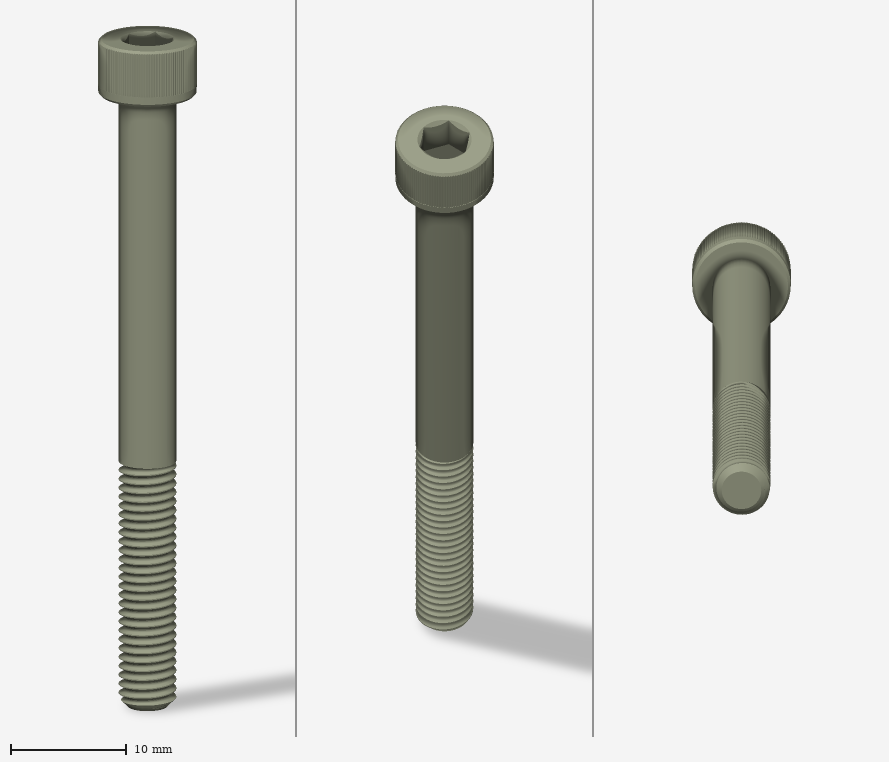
import cadquery as cq
import math

overall_length = 60.0
head_diameter = 8.5
head_height = 5.0
shank_diameter = 5.0

head_edge_chamfer = 0.25
knurl_count = 120
knurl_depth = 0.05
knurl_bottom_band = 0.9

socket_across_flats = 4.0
socket_depth = 3.0
socket_mouth_diameter = 4.7
socket_mouth_angle = math.radians(45)

thread_length = 22.0
thread_turns = 27.5
tip_chamfer = 0.8
thread_half_angle = math.radians(30)
first_crest_height = 0.3

head_radius = head_diameter / 2
shank_radius = shank_diameter / 2
head_base = overall_length - head_height

pitch = thread_length / thread_turns
crest_width = pitch / 8
root_width = pitch / 8
thread_depth = (pitch - crest_width - root_width) / 2 / math.tan(thread_half_angle)
root_radius = shank_radius - thread_depth

overlap = 0.05
cutter_margin = 0.6


def make_rod(radius, bottom, top):
    return cq.Workplane("XY", origin=(0, 0, bottom)).circle(radius).extrude(top - bottom)


def make_head():
    head = make_rod(head_radius, head_base, overall_length)
    return head.faces("<Z or >Z").chamfer(head_edge_chamfer)


def make_knurl_cutter():
    """Ring whose toothed inside cuts straight V-grooves into the rim of the head."""
    tooth_angle = 2 * math.pi / knurl_count
    outline = []
    for i in range(knurl_count):
        ridge_angle = i * tooth_angle
        valley_angle = ridge_angle + tooth_angle / 2
        for radius, angle in ((head_radius, ridge_angle), (head_radius - knurl_depth, valley_angle)):
            outline.append((radius * math.cos(angle), radius * math.sin(angle)))
    plane = cq.Workplane("XY", origin=(0, 0, head_base + knurl_bottom_band))
    return plane.circle(head_radius + cutter_margin).polyline(outline).close().extrude(head_height)


def make_socket():
    across_corners = socket_across_flats / math.cos(math.pi / 6)
    floor = cq.Workplane("XY", origin=(0, 0, overall_length - socket_depth))
    hexagon = floor.polygon(6, across_corners).extrude(socket_depth)
    mouth_radius = socket_mouth_diameter / 2
    mouth_depth = mouth_radius / math.tan(socket_mouth_angle)
    mouth = cq.Solid.makeCone(0, mouth_radius, mouth_depth, cq.Vector(0, 0, overall_length - mouth_depth))
    return hexagon.union(cq.Workplane(mouth))


def make_thread_ridge():
    """Right-handed ridge, trimmed flat at both ends of the thread."""
    start = first_crest_height - pitch
    inner_radius = root_radius - overlap
    crest_half = crest_width / 2
    inner_half = crest_half + (shank_radius - inner_radius) * math.tan(thread_half_angle)
    profile = cq.Workplane("XZ", origin=(0, 0, start)).polyline([
        (inner_radius, -inner_half),
        (shank_radius, -crest_half),
        (shank_radius, crest_half),
        (inner_radius, inner_half),
    ]).close()
    helix_height = thread_length + 2 * pitch
    path = cq.Wire.makeHelix(pitch, helix_height, shank_radius, center=cq.Vector(0, 0, start))
    ridge = profile.sweep(cq.Workplane(path), isFrenet=True)
    return ridge.intersect(make_rod(head_radius, 0, thread_length))


def make_tip_cutter():
    """Ring that leaves a 45 degree cone on the tip of the thread."""
    tip_radius = shank_radius - tip_chamfer
    outer_radius = shank_radius + cutter_margin
    return cq.Workplane("XZ").polyline([
        (tip_radius - cutter_margin, -cutter_margin),
        (outer_radius, -cutter_margin),
        (outer_radius, outer_radius - tip_radius),
    ]).close().revolve(360, (0, 0, 0), (0, 1, 0))


def make_threaded_end():
    core = make_rod(root_radius, 0, thread_length)
    threaded = core.union(make_thread_ridge(), clean=False)
    threaded = threaded.cut(make_tip_cutter(), clean=False)
    return threaded.rotate((0, 0, 0), (0, 0, 1), 180)


shank = make_rod(shank_radius, thread_length, head_base)
head = make_head().cut(make_knurl_cutter()).cut(make_socket())
result = make_threaded_end().union(shank.union(head), clean=False)